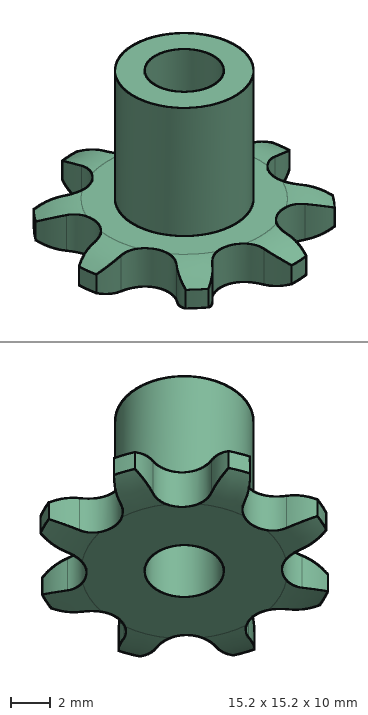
import cadquery as cq
import math

tooth_count = 8
chain_pitch = 5.0
roller_radius = 1.6
tip_radius = 7.6
tip_half_width = 0.58
plate_thickness = 2.31
tip_thickness = 1.12
flat_face_radius = 5.21
hub_diameter = 7.0
bore_diameter = 4.0
total_height = 10.0

tooth_angle = 360 / tooth_count
half_angle = math.radians(tooth_angle / 2)
pitch_radius = chain_pitch / (2 * math.sin(half_angle))
root_radius = pitch_radius - roller_radius

flank_start_x = pitch_radius * math.cos(half_angle)
flank_half_width = pitch_radius * math.sin(half_angle) - roller_radius
tip_corner_x = math.sqrt(tip_radius**2 - tip_half_width**2)


def tangent_arc_radius(run, drop):
    """Radius of an arc that starts along the run and falls away by the drop."""
    return (run**2 + drop**2) / (2 * drop)


flank_radius = tangent_arc_radius(tip_corner_x - flank_start_x, flank_half_width - tip_half_width)

rim_drop = (plate_thickness - tip_thickness) / 2
crown_radius = tangent_arc_radius(tip_radius - flat_face_radius, rim_drop)


def rotated(x, y, angle):
    """Turn a point about the sprocket axis by an angle in degrees."""
    a = math.radians(angle)
    return (x * math.cos(a) - y * math.sin(a), x * math.sin(a) + y * math.cos(a))


def toothed_plate():
    """Extruded outline: tip arc, convex flanks and round roller seats."""
    outline = cq.Workplane("XY").moveTo(tip_corner_x, -tip_half_width)
    for i in range(tooth_count):
        angle = i * tooth_angle
        next_angle = angle + tooth_angle
        flank_start = rotated(flank_start_x, flank_half_width, angle)
        next_flank_start = rotated(flank_start_x, -flank_half_width, next_angle)
        root_middle = rotated(root_radius, 0, angle + tooth_angle / 2)
        outline = outline.threePointArc(
            rotated(tip_radius, 0, angle), rotated(tip_corner_x, tip_half_width, angle)
        )
        outline = outline.radiusArc(flank_start, -flank_radius)
        outline = outline.threePointArc(root_middle, next_flank_start)
        outline = outline.radiusArc(
            rotated(tip_corner_x, -tip_half_width, next_angle), -flank_radius
        )
    return outline.close().extrude(plate_thickness)


def crowned_blank():
    """Revolved disc whose rim thins toward the tip with arcs tangent to both faces."""
    return (
        cq.Workplane("XZ")
        .lineTo(flat_face_radius, 0)
        .tangentArcPoint((tip_radius, rim_drop), relative=False)
        .lineTo(tip_radius, plate_thickness - rim_drop)
        .radiusArc((flat_face_radius, plate_thickness), -crown_radius)
        .lineTo(0, plate_thickness)
        .close()
        .revolve(360, (0, 0, 0), (0, 1, 0))
    )


hub = cq.Workplane("XY").circle(hub_diameter / 2).extrude(total_height)
bore = cq.Workplane("XY").circle(bore_diameter / 2).extrude(total_height)

result = toothed_plate().intersect(crowned_blank()).union(hub).cut(bore)